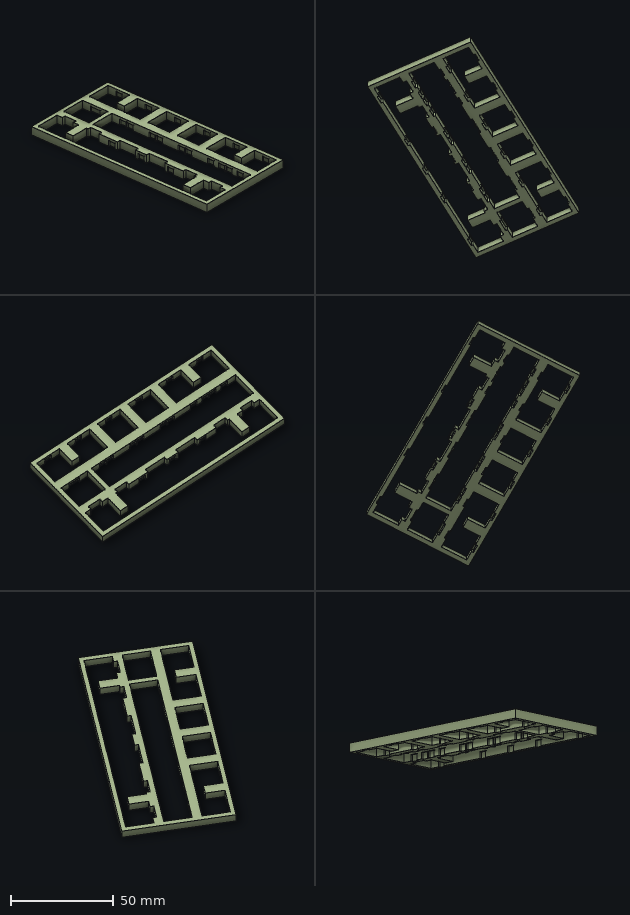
import cadquery as cq

length = 114.3
columns = 6
rows = 3
thickness = 4.8
pitch = length / columns
width = rows * pitch

web = 5.0
opening = pitch - web
clip_width = 4.0
clip_depth = 1.0
clip_lip = 1.5

stabilizer_width = 7.1
stabilizer_depth = 2.0
stabilizer_offset = 11.9
outer_stabilizer_x = 47.7

rib_length = 9.8

back_y = pitch
front_y = -pitch


def column_x(units):
    """X of a key centre that lies the given number of key pitches from the left side."""
    return units * pitch - length / 2


def box(x_min, x_max, y_min, y_max, height):
    """Block standing on the bottom plane."""
    return cq.Workplane("XY").box(
        x_max - x_min, y_max - y_min, height, centered=False
    ).translate((x_min, y_min, 0))


def row_opening(first_key, last_key, row_y):
    """Through opening that reaches from one key position to another in the same row."""
    half = opening / 2
    return box(
        column_x(first_key) - half,
        column_x(last_key) + half,
        row_y - half,
        row_y + half,
        thickness,
    )


def clip_recess(x, row_y):
    """Recess from below, under both long edges of a row opening."""
    reach = opening / 2 + clip_depth
    return box(x - clip_width / 2, x + clip_width / 2, row_y - reach, row_y + reach, thickness - clip_lip)


def stabilizer_slot(x):
    """Through slot that deepens the front row opening towards the back."""
    half = stabilizer_width / 2
    wall_y = front_y + opening / 2
    return box(x - half, x + half, front_y, wall_y + stabilizer_depth, thickness)


def rib(border, row_y):
    """Rib between two neighbouring cells, hanging from the back edge of the row."""
    half = web / 2
    wall_y = row_y + opening / 2
    x = column_x(border)
    return box(x - half, x + half, wall_y - rib_length, wall_y, thickness)


back_openings = [(0.5, 1.5), (2.5, 2.5), (3.5, 3.5), (4.5, 5.5)]
middle_openings = [(0.5, 0.625), (1.5, 5.5)]
front_openings = [(0.5, 5.5)]

back_keys = [column + 0.5 for column in range(columns)]
middle_keys = [0.5, 0.625, 1.5, 1.75, 2.5, 2.75, 3.5, 3.75, 4.5, 4.875, 5.125, 5.5]
two_unit_keys = [2, 3, 4]
front_keys = [0.5] + two_unit_keys + [5.5]
rib_borders = [1, 5]

layout = [
    (back_y, back_openings, back_keys),
    (0.0, middle_openings, middle_keys),
    (front_y, front_openings, front_keys),
]

result = cq.Workplane("XY").box(length, width, thickness, centered=(True, True, False))

for row_y, openings, _ in layout:
    for first_key, last_key in openings:
        result = result.cut(row_opening(first_key, last_key, row_y))

stabilizer_xs = [-outer_stabilizer_x, outer_stabilizer_x]
for key in two_unit_keys:
    stabilizer_xs += [column_x(key) - stabilizer_offset, column_x(key) + stabilizer_offset]
for x in stabilizer_xs:
    result = result.cut(stabilizer_slot(x))

for row_y in (back_y, front_y):
    for border in rib_borders:
        result = result.union(rib(border, row_y))

for row_y, _, keys in layout:
    for key in keys:
        result = result.cut(clip_recess(column_x(key), row_y))